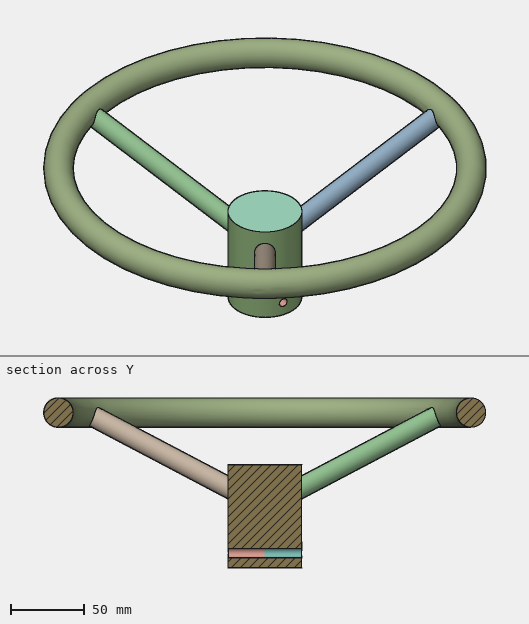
import cadquery as cq
import math

wheel_diameter = 299.8
rim_tube_diameter = 20.0
overall_height = 115.0

hub_diameter = 50.0
hub_height = 70.0

spoke_count = 3
spoke_diameter = 14.0
spoke_root_height = 41.5
first_spoke_angle = 90.0

pin_hole_diameter = 6.0
pin_hole_height = 10.0

rim_radius = (wheel_diameter - rim_tube_diameter) / 2
rim_height = overall_height - rim_tube_diameter / 2


def make_rim():
    return (
        cq.Workplane("XZ")
        .center(rim_radius, rim_height)
        .circle(rim_tube_diameter / 2)
        .revolve(360, (-rim_radius, 0), (-rim_radius, 1))
    )


def make_hub():
    return cq.Workplane("XY").circle(hub_diameter / 2).extrude(hub_height)


def make_spoke(angle):
    """Straight round bar from the hub axis to the rim centreline at an angle in degrees from +X."""
    rise = rim_height - spoke_root_height
    direction = cq.Vector(
        rim_radius * math.cos(math.radians(angle)),
        rim_radius * math.sin(math.radians(angle)),
        rise,
    )
    root = cq.Vector(0, 0, spoke_root_height)
    bar = cq.Solid.makeCylinder(spoke_diameter / 2, direction.Length, root, direction)
    return cq.Workplane(bar)


def make_pin_hole():
    return (
        cq.Workplane("YZ")
        .center(0, pin_hole_height)
        .circle(pin_hole_diameter / 2)
        .extrude(hub_diameter, both=True)
    )


spoke_spacing = 360 / spoke_count

wheel = make_hub()
for index in range(spoke_count):
    wheel = wheel.union(make_spoke(first_spoke_angle + index * spoke_spacing))

result = wheel.union(make_rim(), clean=False).cut(make_pin_hole(), clean=False)